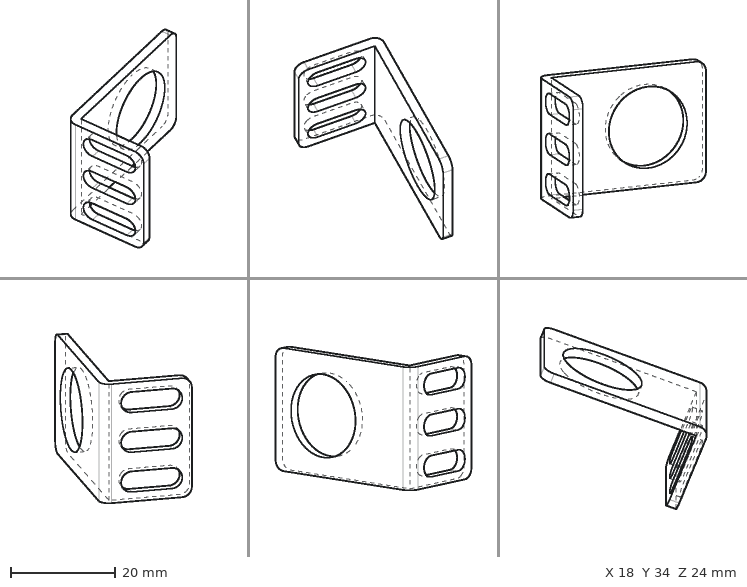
import cadquery as cq

width = 18.0
depth = 34.0
height = 24.0
thickness = 2.0
corner_radius = thickness
bend_radius = thickness

opening_diameter = 16.2
opening_from_end = height / 2

slot_count = 3
slot_length = 12.1
slot_height = 4.1
slot_pitch = height / slot_count
slot_center_x = (thickness + width) / 2


def make_legs():
    """Two plates meeting at a rounded outer edge and a sharp inner edge."""
    long_leg = cq.Workplane("XY").box(thickness, depth, height, centered=False)
    short_leg = cq.Workplane("XY").box(width, thickness, height, centered=False)
    long_leg = long_leg.edges("|X and >Y").fillet(corner_radius)
    short_leg = short_leg.edges("|Y and >X").fillet(corner_radius)
    legs = long_leg.union(short_leg)
    return legs.edges("|Z and <X and <Y").fillet(bend_radius)


def make_opening():
    """Cylinder through the long leg, equally far from its end and sides."""
    return (
        cq.Workplane("YZ")
        .center(depth - opening_from_end, height / 2)
        .circle(opening_diameter / 2)
        .extrude(thickness)
    )


def make_slots():
    """Evenly stacked slots through the short leg."""
    return (
        cq.Workplane("XZ")
        .center(slot_center_x, height / 2)
        .rarray(0.35, slot_pitch, 1, slot_count)
        .slot2D(slot_length, slot_height)
        .extrude(-thickness)
    )


result = make_legs().cut(make_opening()).cut(make_slots())